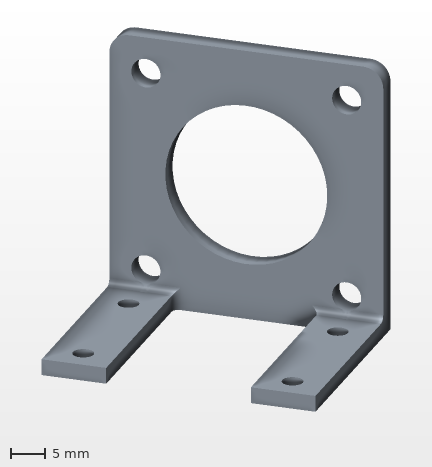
import cadquery as cq

width = 42.3
height = 42.3
depth = 33.15

plate_thickness = 3.17
corner_radius = 3.1
bore_diameter = 25.0
mount_hole_diameter = 4.5
mount_hole_spacing = 31.0

leg_width = 10.0
leg_thickness = 2.5
leg_length = depth - plate_thickness
leg_hole_diameter = 3.17
leg_hole_spacing = 20.0
leg_hole_front_margin = 4.15
leg_hole_side_margin = 5.0

blend_radius = 1.0

plate_center_z = height / 2
leg_hole_x = width / 2 - leg_hole_side_margin
leg_hole_center_y = -leg_length + leg_hole_front_margin + leg_hole_spacing / 2


def make_plate():
    """Upright plate with rounded top corners."""
    plate = cq.Workplane("XY").box(width, plate_thickness, height, centered=(True, False, False))
    return plate.edges("|Y and >Z").fillet(corner_radius)


def make_leg(side):
    """Flat leg flush with one side of the plate; side is -1 or 1."""
    center_x = side * (width - leg_width) / 2
    return (
        cq.Workplane("XY")
        .box(leg_width, leg_length, leg_thickness, centered=(True, False, False))
        .translate((center_x, -leg_length, 0))
    )


def blend_leg_roots(body):
    """Round the inside corners along the top and the inner side of each leg root."""
    inner_x = width / 2 - leg_width
    for side in (-1, 1):
        top_root = cq.selectors.NearestToPointSelector((side * (width - leg_width) / 2, 0, leg_thickness))
        inner_root = cq.selectors.NearestToPointSelector((side * inner_x, 0, leg_thickness / 2))
        body = body.edges(top_root + inner_root).fillet(blend_radius)
    return body


def plate_cutters():
    """Central bore and four mounting holes through the plate only."""
    face = cq.Workplane("XZ", origin=(0, 0, plate_center_z))
    bore = face.circle(bore_diameter / 2).extrude(-plate_thickness)
    mount_holes = (
        face.rect(mount_hole_spacing, mount_hole_spacing, forConstruction=True)
        .vertices()
        .circle(mount_hole_diameter / 2)
        .extrude(-plate_thickness)
    )
    return bore.union(mount_holes)


def leg_cutters():
    """Two vertical screw holes through each leg."""
    return (
        cq.Workplane("XY", origin=(0, leg_hole_center_y, 0))
        .rect(2 * leg_hole_x, leg_hole_spacing, forConstruction=True)
        .vertices()
        .circle(leg_hole_diameter / 2)
        .extrude(leg_thickness)
    )


body = make_plate().union(make_leg(-1)).union(make_leg(1))
drilled = body.cut(plate_cutters()).cut(leg_cutters())
result = blend_leg_roots(drilled)